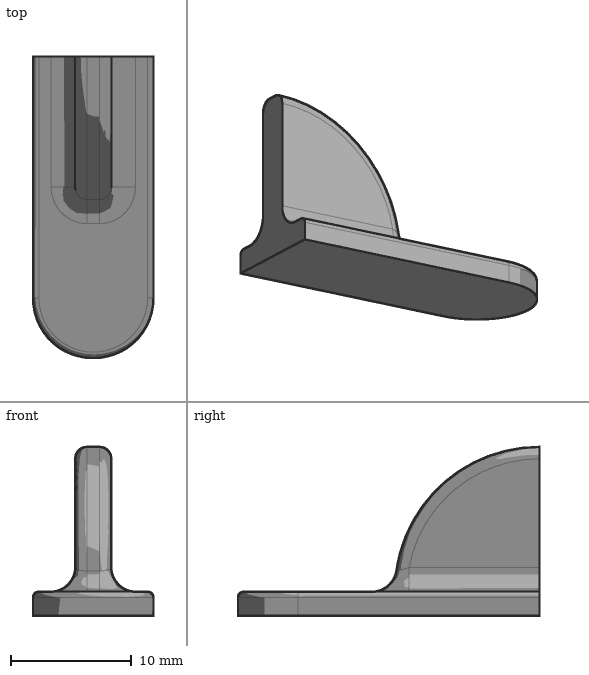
import cadquery as cq

length = 25.0
width = 10.0
base_thickness = 2.0
base_edge_radius = 0.5

fin_radius = 12.0
fin_thickness = 3.0
fin_edge_radius = 1.0
root_radius = 2.0

tolerance = 0.02


def make_base():
    end_radius = width / 2
    straight_end = end_radius - length
    plate = (
        cq.Workplane("XY")
        .moveTo(-end_radius, 0)
        .lineTo(-end_radius, straight_end)
        .threePointArc((0, -length), (end_radius, straight_end))
        .lineTo(end_radius, 0)
        .close()
        .extrude(base_thickness)
    )
    return plate.faces(">Z").edges("not >Y").fillet(base_edge_radius)


def make_fin():
    disc = (
        cq.Workplane("YZ", origin=(-fin_thickness / 2, 0, base_thickness))
        .circle(fin_radius)
        .extrude(fin_thickness)
        .edges("%CIRCLE")
        .fillet(fin_edge_radius)
    )
    quarter = cq.Workplane("XY", origin=(0, 0, base_thickness)).box(
        fin_thickness, fin_radius, fin_radius, centered=(True, False, False)
    ).translate((0, -fin_radius, 0))
    return disc.intersect(quarter)


body = make_base().union(make_fin())

root_edges = cq.selectors.BoxSelector(
    (-fin_thickness / 2 - tolerance, -fin_radius - tolerance, base_thickness - tolerance),
    (fin_thickness / 2 + tolerance, -tolerance, base_thickness + tolerance),
    boundingbox=False,
)
result = body.edges(root_edges).fillet(root_radius)